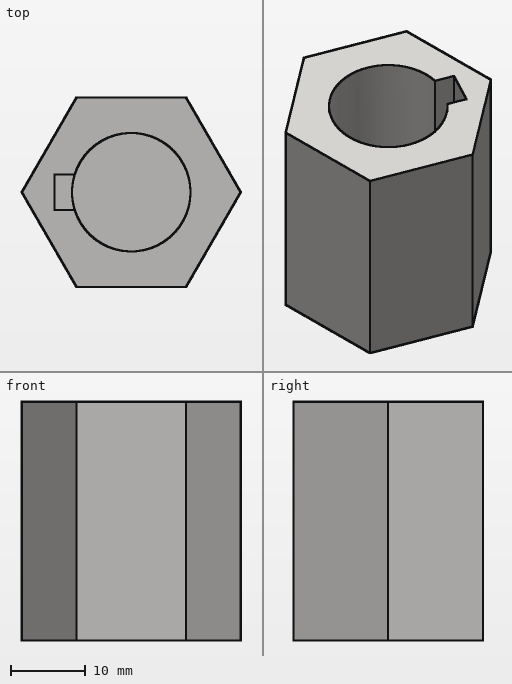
import cadquery as cq
import math

body_length = 32.0
across_flats = 25.4
across_corners = across_flats / math.cos(math.pi / 6)

bore_diameter = 15.87
bore_depth = 25.6

key_width = 4.77
key_reach = 10.27
key_depth = 19.2


def make_body():
    return cq.Workplane("XY").polygon(6, across_corners).extrude(body_length)


def make_bore():
    top = cq.Workplane("XY").workplane(offset=body_length)
    return top.circle(bore_diameter / 2).extrude(-bore_depth)


def make_keyway():
    top = cq.Workplane("XY").workplane(offset=body_length)
    return top.center(-key_reach / 2, 0).rect(key_reach, key_width).extrude(-key_depth)


result = make_body().cut(make_bore()).cut(make_keyway())